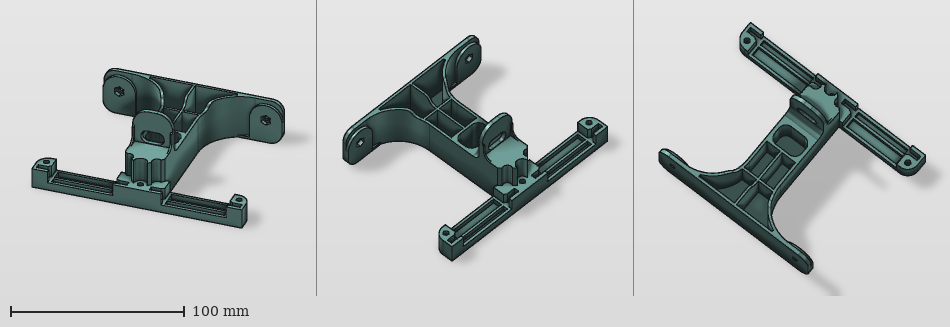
import cadquery as cq
import math


depth = 96.8
wall = 1.8
rib = 1.5
overlap = 1.3
screw_dia = 3.5

arm_width = 24.5
arm_top = 27.5
deck_z = 22.5
blend = 5.0
step_end_y = 84.4

plate_width = 110.0
plate_thick = 2.6
plate_top_radius = 7.4
plate_bottom_radius = 7.7
flare_radius = 25.5
boss_x = 45.0
boss_z = 15.0
boss_thick = 1.9
nut_corner_dia = 6.5
nut_depth = 2.7
nut_turn = 30
ledge_height = 1.5

tab_rear_y = 28.9
tab_thick = 2.7
tab_top = 49.0
tab_radius = 9.7
slot_length = 14.3
slot_height = 8.0
slot_z = 31.9
gusset_width = 1.2
gusset_step = 0.9
gusset_top = 38.2

flare_pocket_half_width = 26.8
flare_pocket_front_y = 74.7
middle_pocket_front_y = 52.8
round_pocket_width = 19.7
round_pocket_length = 13.8
round_pocket_y = 44.1

bar_length = 129.0
bar_depth = 14.7
bar_height = 12.4
bar_radius = 7.4
end_hole_x = 59.2
end_hole_y = 9.9
center_hole_y = 5.9

tray_inner_x = 14.8
tray_outer_x = 54.8
tray_floor = 5.0
groove_inner_x = 7.0
groove_outer_x = 62.6
groove_front_y = 2.3
groove_rear_y = 5.5
groove_lead_x = 1.9
groove_lead_y = 1.3
tray_pockets = ((1.9, 5.2), (6.8, 12.9))

nose_shoulder_y = 13.9
nose_notch_dia = 6.2
nose_notch_x = 8.9
nose_notch_y = 9.4
screw_head_dia = 8.3

arm_half = arm_width / 2
plate_half = plate_width / 2
plate_front_y = depth - plate_thick
flare_x = arm_half + flare_radius
flare_y = plate_front_y - flare_radius
tab_front_y = tab_rear_y - tab_thick


def block(x0, x1, y0, y1, z0, z1):
    """Box between two opposite corners."""
    return cq.Workplane("XY").box(x1 - x0, y1 - y0, z1 - z0, centered=False).translate((x0, y0, z0))


def cylinder(x, y, diameter, z0, z1):
    """Upright cylinder between two heights."""
    return cq.Workplane("XY", origin=(x, y, z0)).circle(diameter / 2).extrude(z1 - z0)


def facing_front(y):
    """Upright workplane at the given Y, whose extrusions run toward -Y."""
    return cq.Workplane("XZ", origin=(0, y, 0))


def both_sides(shape):
    """The shape together with its mirror image across X = 0."""
    return shape.union(shape.mirror("YZ"))


def make_arm():
    """Arm and rear flares: the plan outline limited by the side profile."""
    diagonal = flare_radius * math.sqrt(0.5)
    half_plan = (
        cq.Workplane("XY")
        .moveTo(0, 0)
        .lineTo(arm_half, 0)
        .lineTo(arm_half, flare_y)
        .threePointArc((flare_x - diagonal, flare_y + diagonal), (flare_x, plate_front_y))
        .lineTo(flare_x, depth)
        .lineTo(0, depth)
        .close()
        .extrude(tab_top)
    )

    step_drop = (arm_top - deck_z) / 2
    step_angle = math.acos(1 - step_drop / blend)
    step_run = blend * math.sin(step_angle)
    mid_y = step_end_y - step_run
    mid_z = arm_top - step_drop
    low_y = step_end_y - 2 * step_run
    arc_run = blend * math.sin(step_angle / 2)
    arc_drop = blend * (1 - math.cos(step_angle / 2))
    corner = blend * (1 - math.sqrt(0.5))
    gusset_y = tab_front_y - gusset_step
    profile = (
        cq.Workplane("YZ", origin=(-plate_half, 0, 0))
        .moveTo(0, 0)
        .lineTo(depth, 0)
        .lineTo(depth, arm_top)
        .lineTo(step_end_y, arm_top)
        .threePointArc((step_end_y - arc_run, arm_top - arc_drop), (mid_y, mid_z))
        .threePointArc((low_y + arc_run, deck_z + arc_drop), (low_y, deck_z))
        .lineTo(tab_rear_y + blend, deck_z)
        .threePointArc((tab_rear_y + corner, deck_z + corner), (tab_rear_y, deck_z + blend))
        .lineTo(tab_rear_y, tab_top)
        .lineTo(tab_front_y, tab_top)
        .lineTo(tab_front_y, gusset_top)
        .lineTo(gusset_y, gusset_top - gusset_step)
        .lineTo(gusset_y, arm_top + blend)
        .threePointArc((gusset_y - corner, arm_top + corner), (gusset_y - blend, arm_top))
        .lineTo(0, arm_top)
        .close()
        .extrude(plate_width)
    )
    return both_sides(half_plan).intersect(profile)


def tab_cuts():
    """Space between the gussets, the rounding of the tab's top corners and the slot."""
    inner_half = arm_half - gusset_width
    cuts = block(-inner_half, inner_half, 0, tab_front_y, arm_top, tab_top)

    corner_x = arm_half - tab_radius
    corner_z = tab_top - tab_radius
    corner = block(corner_x, arm_half, tab_front_y, tab_rear_y, corner_z, tab_top).cut(
        facing_front(tab_rear_y).center(corner_x, corner_z).circle(tab_radius).extrude(tab_thick)
    )
    slot = (
        facing_front(tab_rear_y + overlap)
        .center(0, slot_z)
        .slot2D(slot_length, slot_height)
        .extrude(tab_thick + 2 * overlap)
    )
    return cuts.union(both_sides(corner)).union(slot)


def nose_cuts():
    """Sloping sides of the nose, a round notch in each, and clearance for the centre screw."""
    height = arm_top - bar_height
    upper = cq.Workplane("XY", origin=(0, 0, bar_height))
    slope = (
        upper.moveTo(arm_half, nose_shoulder_y)
        .lineTo(arm_half - nose_shoulder_y, 0)
        .lineTo(arm_half, 0)
        .close()
        .extrude(height)
    )
    notch = cylinder(nose_notch_x, nose_notch_y, nose_notch_dia, bar_height, arm_top)
    tip = block(-arm_half, arm_half, 0, center_hole_y, bar_height, arm_top)
    clearance = cylinder(0, center_hole_y, screw_head_dia, bar_height, arm_top)
    return both_sides(slope.union(notch)).union(tip).union(clearance)


def arm_pockets():
    """Pockets open at the top: two in the flare, two in the arm and a rounded one."""
    floor = wall
    rear_y = depth - wall
    inner_half = arm_half - wall
    flare = block(rib / 2, flare_pocket_half_width, flare_pocket_front_y, rear_y, floor, arm_top)
    middle_rear_y = flare_pocket_front_y - rib
    middle = block(rib / 2, arm_half, middle_pocket_front_y, middle_rear_y, floor, arm_top)
    side_wall = block(inner_half, arm_half, 0, flare_y, 0, arm_top)
    flare_wall = cylinder(flare_x, flare_y, 2 * (flare_radius + wall), 0, arm_top)
    pair = flare.union(middle).cut(side_wall).cut(flare_wall)
    rounded = (
        cq.Workplane("XY", origin=(0, round_pocket_y, floor))
        .rect(round_pocket_width, round_pocket_length)
        .extrude(arm_top - floor)
        .edges("|Z")
        .fillet(blend)
    )
    return both_sides(pair).union(rounded)


def make_plate():
    """Rear plate with a raised boss at each end and a low ledge from the boss to the flare."""
    boss_radius = plate_half - boss_x
    plate = block(-plate_half, plate_half, plate_front_y, depth, 0, arm_top)
    plate = plate.edges("|Y and >Z").fillet(plate_top_radius)
    plate = plate.edges("|Y and <Z").fillet(plate_bottom_radius)
    boss = (
        facing_front(plate_front_y)
        .moveTo(boss_x - boss_radius, 0)
        .lineTo(plate_half - plate_bottom_radius, 0)
        .radiusArc((plate_half, plate_bottom_radius), -plate_bottom_radius)
        .lineTo(plate_half, boss_z)
        .threePointArc((boss_x, boss_z + boss_radius), (boss_x - boss_radius, boss_z))
        .close()
        .extrude(boss_thick)
    )
    boss_front_y = plate_front_y - boss_thick
    ledge_inner_x = flare_x - math.sqrt(flare_radius**2 - (boss_front_y - flare_y) ** 2)
    ledge = block(ledge_inner_x, boss_x, boss_front_y, plate_front_y, 0, ledge_height)
    return plate.union(both_sides(boss.union(ledge)))


def boss_holes():
    """Screw hole with a hexagonal nut recess in each boss."""
    hole = facing_front(depth).center(boss_x, boss_z).circle(screw_dia / 2).extrude(plate_thick + boss_thick)
    nut = (
        facing_front(plate_front_y - boss_thick + nut_depth)
        .polygon(6, nut_corner_dia)
        .extrude(nut_depth)
        .rotate((0, 0, 0), (0, 1, 0), nut_turn)
        .translate((boss_x, 0, boss_z))
    )
    return both_sides(hole.union(nut))


def make_bar():
    """Front crossbar with rounded rear corners."""
    half = bar_length / 2
    bar = block(-half, half, 0, bar_depth, 0, bar_height)
    return bar.edges("|Z and >Y").fillet(bar_radius)


def bar_cuts():
    """Lowered tray on each side, with grooves into the blocks beside it and pockets in its floor."""
    tray = block(tray_inner_x, tray_outer_x, 0, bar_depth, tray_floor, bar_height)
    groove = block(groove_inner_x, groove_outer_x, groove_front_y, groove_rear_y, tray_floor, bar_height)
    lead = (
        cq.Workplane("XY", origin=(0, 0, tray_floor))
        .moveTo(tray_inner_x - groove_lead_x, groove_rear_y)
        .lineTo(tray_outer_x + groove_lead_x, groove_rear_y)
        .lineTo(tray_outer_x, groove_rear_y + groove_lead_y)
        .lineTo(tray_inner_x, groove_rear_y + groove_lead_y)
        .close()
        .extrude(bar_height - tray_floor)
    )
    cuts = tray.union(groove).union(lead)
    for front_y, rear_y in tray_pockets:
        pocket = block(tray_inner_x + wall, tray_outer_x - wall, front_y, rear_y, wall, tray_floor)
        cuts = cuts.union(pocket)
    end_hole = cylinder(end_hole_x, end_hole_y, screw_dia, 0, bar_height)
    center_hole = cylinder(0, center_hole_y, screw_dia, 0, bar_height)
    return both_sides(cuts.union(end_hole)).union(center_hole)


arm = make_arm().cut(tab_cuts()).cut(nose_cuts())
plate = make_plate()
bar = make_bar().cut(bar_cuts())
arm = arm.cut(block(-arm_half, arm_half, 0, bar_depth, 0, bar_height))
result = arm.union(plate).cut(arm_pockets()).cut(boss_holes()).union(bar)